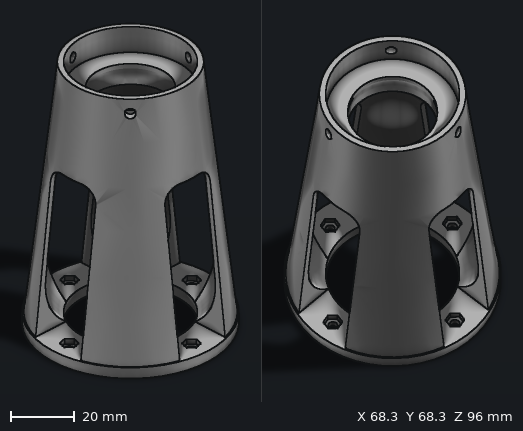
import cadquery as cq
import math

height = 96.0
flange_radius = 68.3 / 2
flange_thickness = 4.0
cone_base_radius = 33.6
cone_top_radius = 23.0

seat_radius = 42.0 / 2
seat_depth = 9.4
throat_radius = 14.1
throat_lip = 1.7
groove_height = 5.9
groove_depth = 0.6

flange_hole_radius = seat_radius
bowl_top_z = 23.4

window_angles = [-15 + 90 * i for i in range(4)]
window_width = 20.2
window_top_z = 64.0
window_corner_radius = 6.0

bolt_circle_radius = 27.2
bolt_diameter = 3.0
nut_across_flats = 5.2
nut_pocket_depth = 1.9

pin_angles = [60, 180, 300]
pin_diameter = 3.5
pin_z = height - 5.0

seat_z = height - seat_depth
groove_top_z = seat_z - throat_lip
chamber_top_z = groove_top_z - groove_height
wall = cone_top_radius - seat_radius
cone_slope = (cone_base_radius - cone_top_radius) / (height - flange_thickness)


def chamber_radius(z):
    """Inner radius of the thin conical wall at level z."""
    return cone_top_radius + cone_slope * (height - z) - wall


def revolve(profile):
    """Turn a closed (radius, z) profile about the Z axis."""
    return profile.close().revolve(360, (0, 0, 0), (0, 1, 0))


def make_shell():
    """Flanged cone with its seat, grooved throat and bowl-bottomed chamber."""
    outside = revolve(
        cq.Workplane("XZ")
        .lineTo(flange_radius, 0)
        .lineTo(flange_radius, flange_thickness)
        .lineTo(cone_base_radius, flange_thickness)
        .lineTo(cone_top_radius, height)
        .lineTo(0, height)
    )
    groove_mid = (throat_radius + groove_depth, groove_top_z - groove_height / 2)
    inside = revolve(
        cq.Workplane("XZ")
        .moveTo(0, height)
        .lineTo(seat_radius, height)
        .lineTo(seat_radius, seat_z)
        .lineTo(throat_radius, seat_z)
        .lineTo(throat_radius, groove_top_z)
        .threePointArc(groove_mid, (throat_radius, chamber_top_z))
        .lineTo(chamber_radius(chamber_top_z), chamber_top_z)
        .lineTo(chamber_radius(bowl_top_z), bowl_top_z)
        .tangentArcPoint((flange_hole_radius, flange_thickness), relative=False)
        .lineTo(flange_hole_radius, 0)
        .lineTo(0, 0)
    )
    return outside.cut(inside)


def make_window(angle):
    """Radial cutter with a flat sill on the flange and rounded upper corners."""
    window_height = window_top_z - flange_thickness
    return (
        cq.Workplane("XY", origin=(0, 0, flange_thickness))
        .box(flange_radius, window_width, window_height, centered=(False, True, False))
        .edges("|X and >Z")
        .fillet(window_corner_radius)
        .rotate((0, 0, 0), (0, 0, 1), angle)
    )


def make_nut_pocket(angle):
    """Bolt hole with a hexagonal nut recess open to the top of the flange."""
    x = bolt_circle_radius * math.cos(math.radians(angle))
    y = bolt_circle_radius * math.sin(math.radians(angle))
    across_corners = nut_across_flats / math.cos(math.pi / 6)
    hole = cq.Workplane("XY").circle(bolt_diameter / 2).extrude(flange_thickness)
    recess = (
        cq.Workplane("XY", origin=(0, 0, flange_thickness - nut_pocket_depth))
        .polygon(6, across_corners)
        .extrude(nut_pocket_depth)
        .rotate((0, 0, 0), (0, 0, 1), 90)
    )
    return hole.union(recess).translate((x, y, 0))


def make_pin_hole(angle):
    """Horizontal round cutter running outward from the axis."""
    return (
        cq.Workplane("YZ", origin=(0, 0, pin_z))
        .circle(pin_diameter / 2)
        .extrude(flange_radius)
        .rotate((0, 0, 0), (0, 0, 1), angle)
    )


result = make_shell()
for window_angle in window_angles:
    result = result.cut(make_window(window_angle))
    result = result.cut(make_nut_pocket(window_angle))
for pin_angle in pin_angles:
    result = result.cut(make_pin_hole(pin_angle))